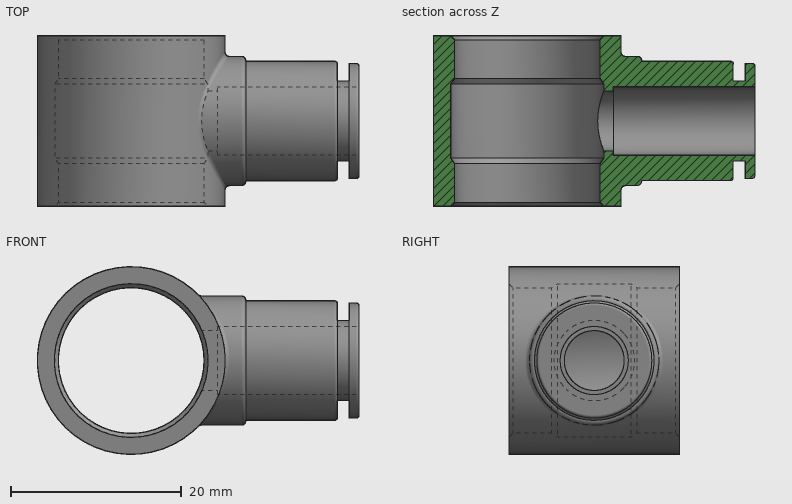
import cadquery as cq

ring_radius = 11.0
ring_width = 20.0
bore_radius = 8.52
mouth_chamfer = 0.5
land_depth = 5.0
recess_depth = 0.45
recess_taper = 0.68

overall_length = 37.7
stem_end = overall_length - ring_radius
collar_radius = 7.58
collar_end = 13.42
edge_round = 0.5
body_radius = 7.0
body_end = 24.15
body_round = 0.35
neck_radius = 4.7
flange_radius = 6.75
flange_thickness = 1.15
flange_round = 0.3
joint_fillet = 0.5
port_radius = 3.5
socket_start = 10.1
socket_radius = 4.0


def cylinder_x(radius, start, end):
    return cq.Workplane("YZ").workplane(offset=start).circle(radius).extrude(end - start)


def cylinder_y(radius, width):
    return cq.Workplane("XZ").circle(radius).extrude(width / 2, both=True)


ring = cylinder_y(ring_radius, ring_width)
collar = cylinder_x(collar_radius, 0, collar_end).faces(">X").edges().fillet(edge_round)
joint_reach = collar_radius + 2 * joint_fillet
joint_zone = cq.selectors.BoxSelector(
    (ring_radius / 2, -joint_reach, -joint_reach),
    (ring_radius + joint_fillet, joint_reach, joint_reach),
    boundingbox=True,
)
outer = ring.union(collar).edges(joint_zone).fillet(joint_fillet)

body = cylinder_x(body_radius, 0, body_end).faces(">X").edges().fillet(body_round)
neck = cylinder_x(neck_radius, 0, stem_end)
flange = cylinder_x(flange_radius, stem_end - flange_thickness, stem_end)
flange = flange.faces(">X").edges().fillet(flange_round)
outer = outer.union(body).union(neck).union(flange)

half_width = ring_width / 2
recess_half = half_width - land_depth
recess_radius = bore_radius + recess_depth
bore = (
    cq.Workplane("XY")
    .moveTo(0, -half_width)
    .lineTo(bore_radius + mouth_chamfer, -half_width)
    .lineTo(bore_radius, -half_width + mouth_chamfer)
    .lineTo(bore_radius, -recess_half)
    .lineTo(recess_radius, -recess_half + recess_taper)
    .lineTo(recess_radius, recess_half - recess_taper)
    .lineTo(bore_radius, recess_half)
    .lineTo(bore_radius, half_width - mouth_chamfer)
    .lineTo(bore_radius + mouth_chamfer, half_width)
    .lineTo(0, half_width)
    .close()
    .revolve(360, (0, 0, 0), (0, 1, 0))
)

port = cylinder_x(port_radius, 0, socket_start)
socket = cylinder_x(socket_radius, socket_start, stem_end)

result = outer.cut(bore).cut(port).cut(socket)